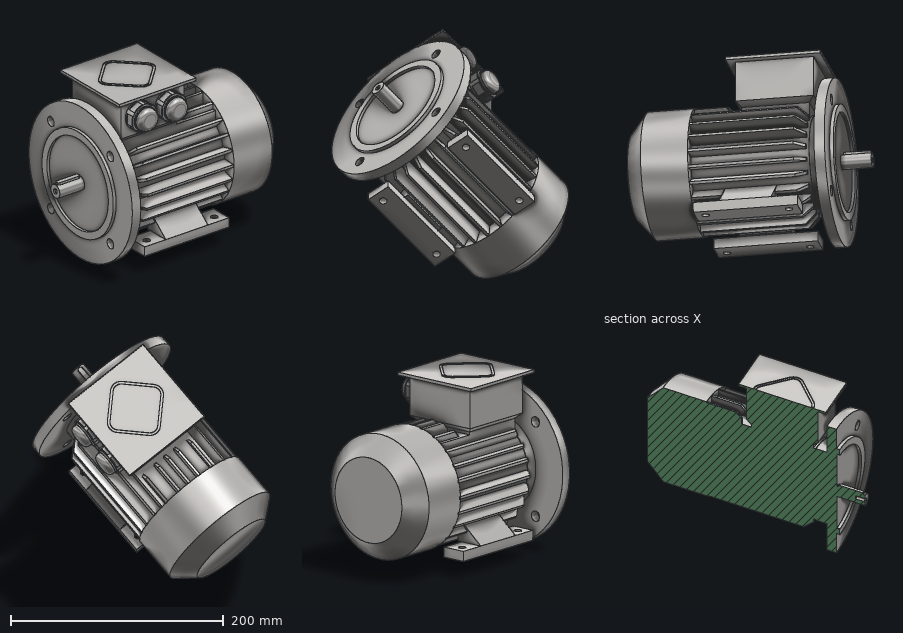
import cadquery as cq
import math


FLANGE_DIA = 160.0
FLANGE_THICKNESS = 10.0
SPIGOT_DIA = 110.0
SPIGOT_HEIGHT = 3.5
RECESS_DIA = 95.0
RECESS_DEPTH = 3.0
BOLT_CIRCLE_DIA = 130.0
BOLT_HOLE_DIA = 10.0
BOLT_COUNT = 4

SHAFT_DIA = 14.0
SHAFT_LENGTH = 30.0
KEY_WIDTH = 5.0
KEY_TOP = 9.0
KEY_FRONT = -28.5
KEY_REAR = -2.0
CENTER_HOLE_DIA = 3.24
CENTER_HOLE_DEPTH = 10.0
CENTER_MOUTH_DIA = 5.3

COLLAR_DIA = 93.0
COLLAR_END = 21.5
CORE_DIA = 92.0
FIN_START = 24.0
HOOD_START = 135.2
HOOD_CONE_START = 180.4
MOTOR_REAR = 197.0
HOOD_DIA = 122.0
HOOD_REAR_DIA = 83.0

FIN_TIP_RADIUS = 60.0
FIN_TIP_WIDTH = 2.6
FIN_ROOT_WIDTH = 3.5
FIN_EMBED_DEPTH = 3.5
FIN_TIP_OVERRUN = 1.0
FIN_PITCH_ANGLE = 15
FIN_FIRST_ANGLE = -225
FIN_LAST_ANGLE = 45
FIN_CHAMFER = 10.0
TOP_FIN_OFFSETS = (-27.3, -12.0, 0.0, 12.0, 27.3)
TOP_FIN_START = 98.6
TOP_FIN_CHAMFER = 6.2

BOX_CENTER_Y = 56.5
NECK_SIDE = 65.0
BOX_SIDE = 75.0
LID_SIDE = 91.0
SADDLE_TOP = 47.2
NECK_TOP = 50.0
BOX_BOTTOM = NECK_TOP + (BOX_SIDE - NECK_SIDE) / 2
LID_BOTTOM = 94.2
LID_TOP = 97.2
BADGE_HEIGHT = 0.8
BADGE_SIDE = 50.0
BADGE_CENTER_Y = 55.1
BADGE_CORNER_RADIUS = 10.0
BADGE_RIM = 2.5

GLAND_SPACING = 35.0
GLAND_Z = 75.2
GLAND_DIA = 29.5
GLAND_ACROSS_FLATS = 27.3
GLAND_FLATS_START = 39.3
GLAND_FLATS_END = 47.6
GLAND_BODY_END = 48.4
GLAND_NECK_DIA = 25.0
GLAND_NECK_END = 50.0
CAP_DIA = 23.26
CAP_END = 56.7
CAP_RADIUS = 4.5

FOOT_BOTTOM = -63.0
FOOT_THICKNESS = 10.0
FOOT_OUTER_X = 60.0
FOOT_INNER_X = 36.0
FOOT_START = 30.0
FOOT_LENGTH = 100.0
FOOT_HOLE_DIA = 7.0
FOOT_HOLE_X = 50.0
FOOT_HOLE_SPACING = 80.0
GUSSET_LENGTH = 50.0
GUSSET_INNER_X = 32.0
GUSSET_SLOPE = 5 / 6


def disc(diameter, start, end):
    """Cylinder on the shaft axis between two Y positions."""
    return cq.Workplane("XZ", origin=(0, start, 0)).circle(diameter / 2).extrude(start - end)


def revolved(profile):
    """Solid of revolution about the Y axis from (radius, y) points."""
    return cq.Workplane("XY").polyline(profile).close().revolve(360, (0, 0, 0), (0, 1, 0))


def box_between(side, bottom, top):
    """Square block of the terminal box between two heights."""
    return (
        cq.Workplane("XY", origin=(0, BOX_CENTER_Y, bottom))
        .rect(side, side)
        .extrude(top - bottom)
    )


def make_flange():
    flange = disc(FLANGE_DIA, 0, FLANGE_THICKNESS)
    flange = flange.union(disc(SPIGOT_DIA, -SPIGOT_HEIGHT, FLANGE_THICKNESS))
    flange = flange.cut(disc(RECESS_DIA, -SPIGOT_HEIGHT, RECESS_DEPTH - SPIGOT_HEIGHT))
    bolt_holes = (
        cq.Workplane("XZ")
        .polarArray(BOLT_CIRCLE_DIA / 2, 45, 360, BOLT_COUNT)
        .circle(BOLT_HOLE_DIA / 2)
        .extrude(-FLANGE_THICKNESS)
    )
    return flange.cut(bolt_holes)


def make_shaft():
    shaft = disc(SHAFT_DIA, -SHAFT_LENGTH, FLANGE_THICKNESS)
    key_length = KEY_REAR - KEY_FRONT
    key_center = (KEY_REAR + KEY_FRONT) / 2
    key = (
        cq.Workplane("XY", origin=(0, key_center, 0))
        .slot2D(key_length, KEY_WIDTH, 90)
        .extrude(KEY_TOP)
    )
    mouth_depth = (CENTER_MOUTH_DIA - CENTER_HOLE_DIA) / 2
    center_hole = revolved([
        (0, -SHAFT_LENGTH),
        (CENTER_MOUTH_DIA / 2, -SHAFT_LENGTH),
        (CENTER_HOLE_DIA / 2, -SHAFT_LENGTH + mouth_depth),
        (CENTER_HOLE_DIA / 2, -SHAFT_LENGTH + CENTER_HOLE_DEPTH),
        (0, -SHAFT_LENGTH + CENTER_HOLE_DEPTH),
    ])
    return shaft.union(key).cut(center_hole)


def make_body():
    hood = revolved([
        (0, HOOD_START),
        (HOOD_DIA / 2, HOOD_START),
        (HOOD_DIA / 2, HOOD_CONE_START),
        (HOOD_REAR_DIA / 2, MOTOR_REAR),
        (0, MOTOR_REAR),
    ])
    collar = disc(COLLAR_DIA, FLANGE_THICKNESS, COLLAR_END)
    core = disc(CORE_DIA, COLLAR_END, HOOD_START)
    return collar.union(core).union(hood)


def fin_envelope(start, chamfer):
    """Cylinder over the fin tips, coned down at its front end."""
    return revolved([
        (0, start),
        (FIN_TIP_RADIUS - chamfer, start),
        (FIN_TIP_RADIUS, start + chamfer),
        (FIN_TIP_RADIUS, HOOD_START),
        (0, HOOD_START),
    ])


def tapered_fin(start, root_radius):
    """Upright fin above the shaft axis, narrowing from root to tip."""
    root_half = FIN_ROOT_WIDTH / 2
    tip_half = FIN_TIP_WIDTH / 2
    embedded_radius = root_radius - FIN_EMBED_DEPTH
    trimmed_radius = FIN_TIP_RADIUS + FIN_TIP_OVERRUN
    return (
        cq.Workplane("XZ", origin=(0, start, 0))
        .polyline([
            (-root_half, embedded_radius),
            (root_half, embedded_radius),
            (root_half, root_radius),
            (tip_half, trimmed_radius),
            (-tip_half, trimmed_radius),
            (-root_half, root_radius),
        ])
        .close()
        .extrude(start - HOOD_START)
    )


def make_radial_fins():
    fin = tapered_fin(FIN_START, CORE_DIA / 2).intersect(fin_envelope(FIN_START, FIN_CHAMFER))
    fins = cq.Workplane("XY")
    for angle in range(FIN_FIRST_ANGLE, FIN_LAST_ANGLE + 1, FIN_PITCH_ANGLE):
        fins = fins.union(fin.rotate((0, 0, 0), (0, -1, 0), angle - 90))
    return fins


def make_top_fins():
    fins = cq.Workplane("XY")
    for offset in TOP_FIN_OFFSETS:
        fin = (
            cq.Workplane("XZ", origin=(offset, TOP_FIN_START, 0))
            .rect(FIN_TIP_WIDTH, 2 * FIN_TIP_RADIUS)
            .extrude(TOP_FIN_START - HOOD_START)
        )
        fins = fins.union(fin)
    upper_half = cq.Workplane("XY").rect(HOOD_DIA, 2 * HOOD_START).extrude(HOOD_DIA)
    return fins.intersect(fin_envelope(TOP_FIN_START, TOP_FIN_CHAMFER)).intersect(upper_half)


def make_saddle():
    """Flat-topped block along the barrel that carries the top fins and the box neck."""
    length = HOOD_START - FIN_START
    return (
        cq.Workplane("XY", origin=(0, FIN_START + length / 2, 0))
        .rect(NECK_SIDE, length)
        .extrude(SADDLE_TOP)
    )


def make_terminal_box():
    neck = box_between(NECK_SIDE, 0, NECK_TOP)
    transition = (
        cq.Workplane("XY", origin=(0, BOX_CENTER_Y, NECK_TOP))
        .rect(NECK_SIDE, NECK_SIDE)
        .workplane(offset=BOX_BOTTOM - NECK_TOP)
        .rect(BOX_SIDE, BOX_SIDE)
        .loft()
    )
    housing = box_between(BOX_SIDE, BOX_BOTTOM, LID_BOTTOM)
    lid = box_between(LID_SIDE, LID_BOTTOM, LID_TOP)
    return neck.union(transition).union(housing).union(lid).union(make_badge_rim())


def make_badge_rim():
    """Raised rounded-square rim on the lid, turned 45 degrees."""
    inner_side = BADGE_SIDE - 2 * BADGE_RIM
    inner_radius = BADGE_CORNER_RADIUS - BADGE_RIM
    pivot = (0, BADGE_CENTER_Y, 0)
    pivot_top = (0, BADGE_CENTER_Y, 1)
    lid_top = cq.Workplane("XY", origin=(0, BADGE_CENTER_Y, LID_TOP))
    outer = lid_top.rect(BADGE_SIDE, BADGE_SIDE).extrude(BADGE_HEIGHT)
    outer = outer.edges("|Z").fillet(BADGE_CORNER_RADIUS)
    inner = lid_top.rect(inner_side, inner_side).extrude(BADGE_HEIGHT)
    inner = inner.edges("|Z").fillet(inner_radius)
    return outer.cut(inner).rotate(pivot, pivot_top, 45)


def make_gland(center_y):
    """Cable gland on the +X side of the terminal box."""

    def gland_plane(x):
        return cq.Workplane("YZ", origin=(x, center_y, GLAND_Z))

    wall = BOX_SIDE / 2
    flats_length = GLAND_FLATS_END - GLAND_FLATS_START
    corner_dia = GLAND_ACROSS_FLATS / math.cos(math.radians(30))
    body = gland_plane(wall).circle(GLAND_DIA / 2).extrude(GLAND_BODY_END - wall)
    ring = gland_plane(GLAND_FLATS_START).circle(GLAND_DIA).extrude(flats_length)
    hexagon = gland_plane(GLAND_FLATS_START).polygon(6, corner_dia).extrude(flats_length)
    hexagon = hexagon.rotate((0, center_y, GLAND_Z), (1, center_y, GLAND_Z), 90)
    body = body.cut(ring.cut(hexagon))
    neck = gland_plane(wall).circle(GLAND_NECK_DIA / 2).extrude(GLAND_NECK_END - wall)
    cap = gland_plane(wall).circle(CAP_DIA / 2).extrude(CAP_END - wall)
    cap = cap.faces(">X").edges().fillet(CAP_RADIUS)
    return body.union(neck).union(cap)


def make_left_foot():
    """Foot pad on the -X side with its sloped gusset up to the barrel."""
    foot_top = FOOT_BOTTOM + FOOT_THICKNESS
    center_x = -(FOOT_OUTER_X + FOOT_INNER_X) / 2
    center_y = FOOT_START + FOOT_LENGTH / 2
    pad = (
        cq.Workplane("XY", origin=(center_x, center_y, FOOT_BOTTOM))
        .rect(FOOT_OUTER_X - FOOT_INNER_X, FOOT_LENGTH)
        .extrude(FOOT_THICKNESS)
    )
    holes = (
        cq.Workplane("XY", origin=(-FOOT_HOLE_X, center_y, FOOT_BOTTOM))
        .rarray(1, FOOT_HOLE_SPACING, 1, 2)
        .circle(FOOT_HOLE_DIA / 2)
        .extrude(FOOT_THICKNESS)
    )
    gusset_rise = (FOOT_OUTER_X - GUSSET_INNER_X) * GUSSET_SLOPE
    gusset = (
        cq.Workplane("XZ", origin=(0, center_y - GUSSET_LENGTH / 2, 0))
        .polyline([
            (-FOOT_OUTER_X, foot_top),
            (-GUSSET_INNER_X, foot_top),
            (-GUSSET_INNER_X, foot_top + gusset_rise),
        ])
        .close()
        .extrude(-GUSSET_LENGTH)
    )
    return pad.cut(holes).union(gusset)


result = make_body().union(make_flange()).union(make_shaft())
result = result.union(make_saddle()).union(make_radial_fins()).union(make_top_fins())
result = result.union(make_terminal_box())
for side in (-1, 1):
    result = result.union(make_gland(BOX_CENTER_Y + side * GLAND_SPACING / 2))

left_foot = make_left_foot()
result = result.union(left_foot).union(left_foot.mirror("YZ"))